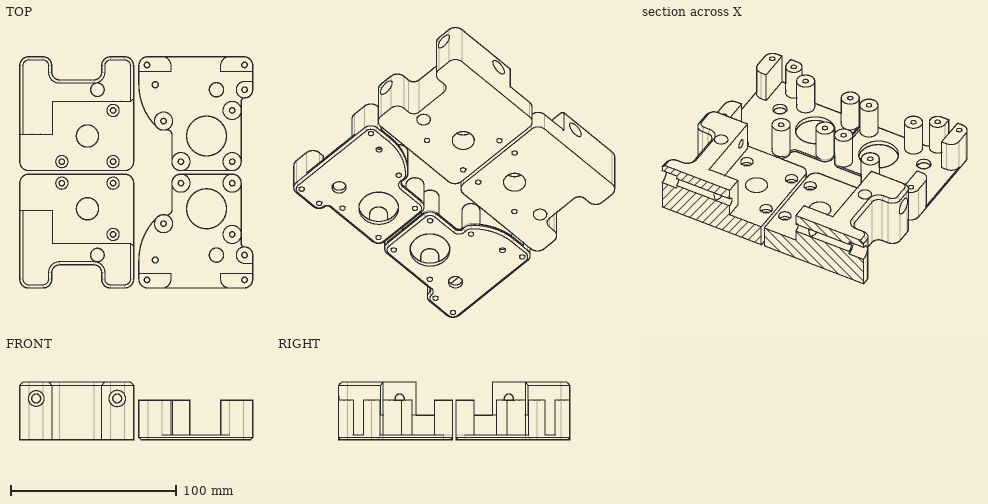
import cadquery as cq
import math

SIDE = 69.0
COLUMN_GAP = 3.0
MIRROR_GAP = 2.0
Y_NEAR = MIRROR_GAP / 2
Y_FAR = Y_NEAR + SIDE
PLATE_X = SIDE + COLUMN_GAP

CORNER_R = 5.5

MOTOR_PITCH = 31.0
MOTOR_X0 = 25.5
MOTOR_X1 = MOTOR_X0 + MOTOR_PITCH
MOTOR_Y0 = Y_NEAR + CORNER_R
MOTOR_Y1 = MOTOR_Y0 + MOTOR_PITCH
MOTOR_CENTRE = ((MOTOR_X0 + MOTOR_X1) / 2, (MOTOR_Y0 + MOTOR_Y1) / 2)
MOTOR_SCREWS = [(MOTOR_X0, MOTOR_Y0), (MOTOR_X1, MOTOR_Y0), (MOTOR_X1, MOTOR_Y1)]
ROD_POINT = (47.0, 50.0)
SCREW_D = 3.2

ARM_LENGTH = 14.0
ARM_WIDTH = 19.5
NOTCH_X0 = ARM_WIDTH
NOTCH_X1 = SIDE - ARM_WIDTH
NOTCH_Y = Y_FAR - ARM_LENGTH
NOTCH_R = 4.5

BLOCK_H = 35.0
FLOOR_H = 15.0
TOP_CHAMFER = 2.0
SEAT_X = 20.0
WALL_END_Y = 23.0
SEAT_Y = 43.0
SEAT_CORNER_Y = 1.5
SHAFT_D = 13.3
ROD_D = 8.1
SCREW_HEAD_D = 7.4
SCREW_HEAD_DEPTH = 4.0

BOLT_Z = 25.0
BOLT_D = 5.3
BOLT_HEAD_DEPTH = 10.0
LEFT_BOLT_X = 10.0
LEFT_BOLT_HEAD_D = 9.5
RIGHT_BOLT_X = 59.0
RIGHT_BOLT_HEAD_D = 10.0
SIDE_BOLT_Y = 33.0
SIDE_BOLT_HEAD_D = 10.0

PLATE_T = 3.0
PLATE_H = 24.0
PLATE_CHAMFER = 1.5
PLATE_BORE_D = 24.0
PLATE_ROD_D = 8.5
PLATE_LEFT_X = MOTOR_X0 - CORNER_R
PLATE_RIGHT_X = MOTOR_X1 + CORNER_R
EDGE_POST = (64.0, 50.0)
EDGE_POST_R = SIDE - EDGE_POST[0]
LEFT_POST = (15.0, 31.0)
PIVOT_HOLE = (10.0, 53.0)
PIVOT_HOLE_D = 3.5
RIGHT_BLEND_R = 2.0
LEFT_BLEND_R = 3.0
CORNER_POST_DEPTH = 9.0
CORNER_HOLE_INSET = 5.0


def rounded_block():
    """Block footprint extruded to full height, with rounded corners and a notch between the arms."""
    body = (
        cq.Workplane("XY")
        .box(SIDE, SIDE, BLOCK_H, centered=False)
        .translate((0, Y_NEAR, 0))
    )
    notch = (
        cq.Workplane("XY")
        .box(NOTCH_X1 - NOTCH_X0, ARM_LENGTH, BLOCK_H, centered=False)
        .translate((NOTCH_X0, NOTCH_Y, 0))
    )
    body = body.cut(notch)
    inside = cq.selectors.BoxSelector(
        (NOTCH_X0 - 1, NOTCH_Y - 1, -1), (NOTCH_X1 + 1, NOTCH_Y + 1, BLOCK_H + 1)
    )
    body = body.edges("|Z").edges(inside).fillet(NOTCH_R)
    tips = cq.selectors.BoxSelector((-1, Y_FAR - 1, -1), (SIDE + 1, Y_FAR + 1, BLOCK_H + 1))
    body = body.edges("|Z").edges(tips).fillet(CORNER_R)
    heel = cq.selectors.BoxSelector((-1, Y_NEAR - 1, -1), (SIDE + 1, Y_NEAR + 1, BLOCK_H + 1))
    body = body.edges("|Z").edges(heel).fillet(CORNER_R)
    return body.faces(">Z").chamfer(TOP_CHAMFER)


def seat_cut():
    """Everything removed above the lowered motor seat."""
    return (
        cq.Workplane("XY")
        .workplane(offset=FLOOR_H)
        .moveTo(0, 0)
        .lineTo(SIDE, 0)
        .lineTo(SIDE, SEAT_Y + SEAT_CORNER_Y)
        .lineTo(SIDE - TOP_CHAMFER, SEAT_Y)
        .lineTo(SEAT_X, SEAT_Y)
        .lineTo(SEAT_X, WALL_END_Y)
        .lineTo(0, WALL_END_Y)
        .close()
        .extrude(BLOCK_H)
    )


def cylinder(start, direction, diameter, length):
    return cq.Workplane(obj=cq.Solid.makeCylinder(
        diameter / 2, length, cq.Vector(*start), cq.Vector(*direction)
    ))


def bolt_hole(start, direction, head_diameter, length):
    """Counterbored bolt hole running horizontally into the block."""
    shank = cylinder(start, direction, BOLT_D, length)
    return shank.union(cylinder(start, direction, head_diameter, BOLT_HEAD_DEPTH))


def make_block():
    block = rounded_block().cut(seat_cut())
    block = block.cut(cylinder((*MOTOR_CENTRE, 0), (0, 0, 1), SHAFT_D, BLOCK_H))
    block = block.cut(cylinder((*ROD_POINT, 0), (0, 0, 1), ROD_D, BLOCK_H))
    for x, y in MOTOR_SCREWS:
        block = block.cut(cylinder((x, y, 0), (0, 0, 1), SCREW_D, FLOOR_H))
        head_floor = FLOOR_H - SCREW_HEAD_DEPTH
        block = block.cut(cylinder((x, y, head_floor), (0, 0, 1), SCREW_HEAD_D, SCREW_HEAD_DEPTH))
    for x, head_diameter, exit_y in (
        (LEFT_BOLT_X, LEFT_BOLT_HEAD_D, WALL_END_Y),
        (RIGHT_BOLT_X, RIGHT_BOLT_HEAD_D, SEAT_Y),
    ):
        block = block.cut(bolt_hole((x, Y_FAR, BOLT_Z), (0, -1, 0), head_diameter, Y_FAR - exit_y))
    return block.cut(bolt_hole((0, SIDE_BOLT_Y, BOLT_Z), (1, 0, 0), SIDE_BOLT_HEAD_D, SEAT_X))


def unit(dx, dy):
    length = math.hypot(dx, dy)
    return dx / length, dy / length


def along(point, direction, distance):
    return point[0] + direction[0] * distance, point[1] + direction[1] * distance


def plate_outline():
    """Plate edge, anticlockwise from the near left corner."""
    diagonal = math.sqrt(0.5)

    right_blend = (PLATE_RIGHT_X + RIGHT_BLEND_R, EDGE_POST[1] - EDGE_POST_R - RIGHT_BLEND_R)

    drop = PIVOT_HOLE[1] - LEFT_POST[1]
    sweep_r = (LEFT_POST[0] ** 2 + drop ** 2 - CORNER_R ** 2) / (2 * (LEFT_POST[0] - CORNER_R))
    sweep_centre = (sweep_r, PIVOT_HOLE[1])
    to_post = unit(LEFT_POST[0] - sweep_centre[0], LEFT_POST[1] - sweep_centre[1])
    sweep_end = along(sweep_centre, to_post, sweep_r)
    sweep_mid = along(sweep_centre, unit(to_post[0] - 1, to_post[1]), sweep_r)

    blend_x = PLATE_LEFT_X - LEFT_BLEND_R
    blend_dx = blend_x - LEFT_POST[0]
    blend_y = LEFT_POST[1] - math.sqrt((CORNER_R + LEFT_BLEND_R) ** 2 - blend_dx ** 2)
    from_post = unit(blend_dx, blend_y - LEFT_POST[1])
    post_end = along(LEFT_POST, from_post, CORNER_R)
    post_mid = along(LEFT_POST, unit(to_post[0] + from_post[0], to_post[1] + from_post[1]), CORNER_R)
    blend_mid = along((blend_x, blend_y), unit(1 - from_post[0], -from_post[1]), LEFT_BLEND_R)

    tip_y = Y_FAR - CORNER_R
    near_y = Y_NEAR + CORNER_R
    return (
        cq.Workplane("XY")
        .moveTo(MOTOR_X0, Y_NEAR)
        .lineTo(MOTOR_X1, Y_NEAR)
        .threePointArc(along((MOTOR_X1, near_y), (diagonal, -diagonal), CORNER_R), (PLATE_RIGHT_X, near_y))
        .lineTo(PLATE_RIGHT_X, right_blend[1])
        .threePointArc(
            along(right_blend, (-diagonal, diagonal), RIGHT_BLEND_R), (EDGE_POST[0], EDGE_POST[1] - EDGE_POST_R)
        )
        .threePointArc(along(EDGE_POST, (diagonal, -diagonal), EDGE_POST_R), (SIDE, EDGE_POST[1]))
        .lineTo(SIDE, tip_y)
        .threePointArc(
            along((SIDE - CORNER_R, tip_y), (diagonal, diagonal), CORNER_R), (SIDE - CORNER_R, Y_FAR)
        )
        .lineTo(CORNER_R, Y_FAR)
        .threePointArc(along((CORNER_R, tip_y), (-diagonal, diagonal), CORNER_R), (0, tip_y))
        .lineTo(0, PIVOT_HOLE[1])
        .threePointArc(sweep_mid, sweep_end)
        .threePointArc(post_mid, post_end)
        .threePointArc(blend_mid, (PLATE_LEFT_X, blend_y))
        .lineTo(PLATE_LEFT_X, near_y)
        .threePointArc(along((MOTOR_X0, near_y), (-diagonal, -diagonal), CORNER_R), (MOTOR_X0, Y_NEAR))
        .close()
    )


def raised_box(x, y, width, depth):
    """Box standing on the upper face of the plate, as tall as the posts."""
    box = cq.Workplane("XY").box(width, depth, PLATE_H - PLATE_T, centered=False)
    return box.translate((x, y, PLATE_T))


def raised_post(point, radius):
    base = cq.Workplane("XY").workplane(offset=PLATE_T).center(*point)
    return base.circle(radius).extrude(PLATE_H - PLATE_T)


def corner_post(x):
    """Post under one arm of the block, rounded on its two far corners."""
    post = raised_box(x, Y_FAR - CORNER_POST_DEPTH, ARM_WIDTH, CORNER_POST_DEPTH)
    return post.edges("|Z and >Y").fillet(CORNER_R)


def edge_post():
    """Round post on the right edge with one square corner toward the far side."""
    x, y = EDGE_POST
    diagonal = math.sqrt(0.5)
    return (
        cq.Workplane("XY")
        .workplane(offset=PLATE_T)
        .moveTo(SIDE, y)
        .lineTo(SIDE, y + EDGE_POST_R)
        .lineTo(x, y + EDGE_POST_R)
        .threePointArc((x - EDGE_POST_R, y), (x, y - EDGE_POST_R))
        .threePointArc(along(EDGE_POST, (diagonal, -diagonal), EDGE_POST_R), (SIDE, y))
        .close()
        .extrude(PLATE_H - PLATE_T)
    )


def make_plate():
    plate = plate_outline().extrude(PLATE_T).faces("<Z").chamfer(PLATE_CHAMFER)

    for point in [*MOTOR_SCREWS, LEFT_POST]:
        plate = plate.union(raised_post(point, CORNER_R))
    plate = plate.union(edge_post())
    for x in (0, NOTCH_X1):
        plate = plate.union(corner_post(x))

    corner_y = Y_FAR - CORNER_HOLE_INSET
    corner_holes = [(CORNER_HOLE_INSET, corner_y), (SIDE - CORNER_HOLE_INSET, corner_y)]
    holes = [(point, SCREW_D) for point in [*MOTOR_SCREWS, LEFT_POST, EDGE_POST, *corner_holes]]
    holes += [(PIVOT_HOLE, PIVOT_HOLE_D), (ROD_POINT, PLATE_ROD_D), (MOTOR_CENTRE, PLATE_BORE_D)]
    for point, diameter in holes:
        plate = plate.cut(cylinder((*point, 0), (0, 0, 1), diameter, PLATE_H))
    return plate.translate((PLATE_X, 0, 0))


bodies = []
for body in (make_block(), make_plate()):
    bodies.append(body.val())
    bodies.append(body.mirror("XZ").val())

result = cq.Compound.makeCompound(bodies)